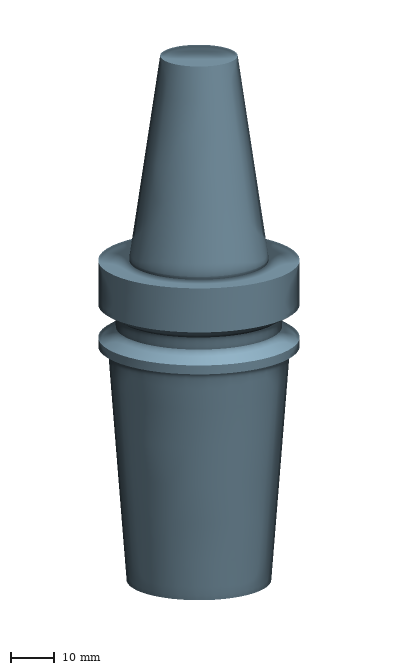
import cadquery as cq

total_height = 124.6
nose_height = 55.6
lower_rim_top = 57.7
groove_bottom = 60.3
groove_top = 63.2
upper_rim_bottom = 65.5
flange_top = 76.0
shank_taper_bottom = 76.6

nose_tip_diameter = 33.0
nose_root_diameter = 41.6
flange_diameter = 46.0
groove_diameter = 38.0
shank_diameter = 31.8
shank_tip_diameter = 17.7

profile = [
    (nose_tip_diameter, 0),
    (nose_root_diameter, nose_height),
    (flange_diameter, nose_height),
    (flange_diameter, lower_rim_top),
    (groove_diameter, groove_bottom),
    (groove_diameter, groove_top),
    (flange_diameter, upper_rim_bottom),
    (flange_diameter, flange_top),
    (shank_diameter, flange_top),
    (shank_diameter, shank_taper_bottom),
    (shank_tip_diameter, total_height),
]

half_section = cq.Workplane("XZ").moveTo(0, 0)
for diameter, height in profile:
    half_section = half_section.lineTo(diameter / 2, height)
half_section = half_section.lineTo(0, total_height).close()

result = half_section.revolve(360, (0, 0, 0), (0, 1, 0))